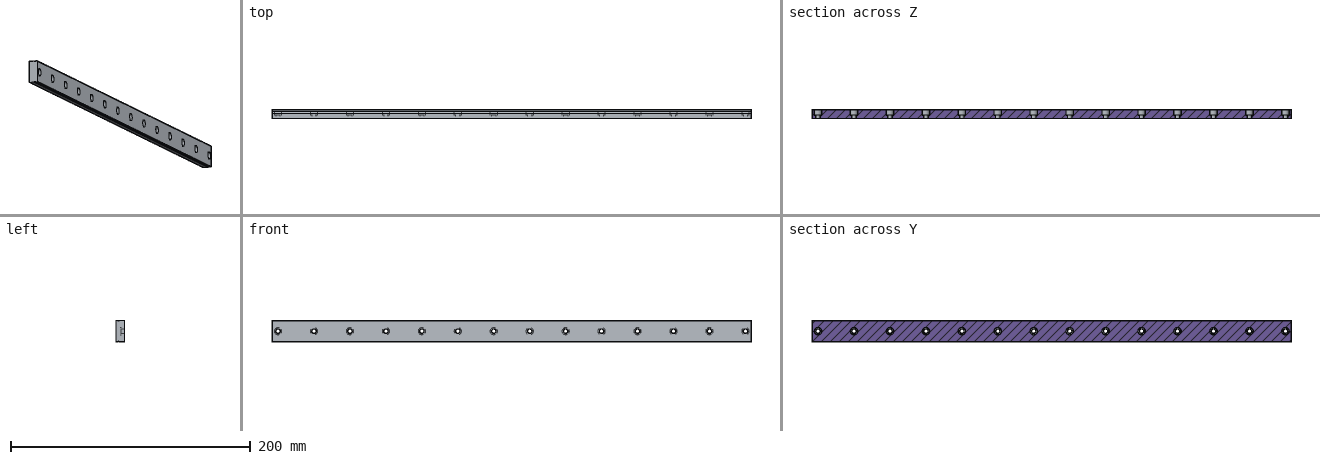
import cadquery as cq

length = 400.0
thickness = 7.5
width = 18.0
edge_chamfer = 0.3

groove_center_y = 1.5
groove_radius = 1.0
groove_depth = 0.4

hole_diameter = 3.5
counterbore_diameter = 6.0
counterbore_depth = 4.5
hole_pitch = 30.0
pitched_hole_count = 12
end_hole_inset = 5.0


def chamfered_bar():
    bar = cq.Workplane("XY").box(length, thickness, width)
    return bar.edges("|X").chamfer(edge_chamfer)


def groove_cutter(side):
    """Cylinder along the rail; side is +1 for the +Z face and -1 for the -Z face."""
    axis_z = side * (width / 2 + groove_radius - groove_depth)
    start = cq.Workplane("YZ", origin=(-length / 2, 0, 0)).center(groove_center_y, axis_z)
    return start.circle(groove_radius).extrude(length)


def mounting_holes():
    first_pitched_x = -hole_pitch * (pitched_hole_count - 1) / 2
    pitched = [first_pitched_x + hole_pitch * i for i in range(pitched_hole_count)]
    end_x = length / 2 - end_hole_inset
    centers = [(x, 0) for x in [-end_x, *pitched, end_x]]
    rail_top = cq.Workplane("XZ", origin=(0, thickness / 2, 0)).pushPoints(centers)
    through = rail_top.circle(hole_diameter / 2).extrude(thickness)
    counterbores = rail_top.circle(counterbore_diameter / 2).extrude(counterbore_depth)
    return through.union(counterbores)


result = chamfered_bar()
for side in (1, -1):
    result = result.cut(groove_cutter(side))
result = result.cut(mounting_holes())